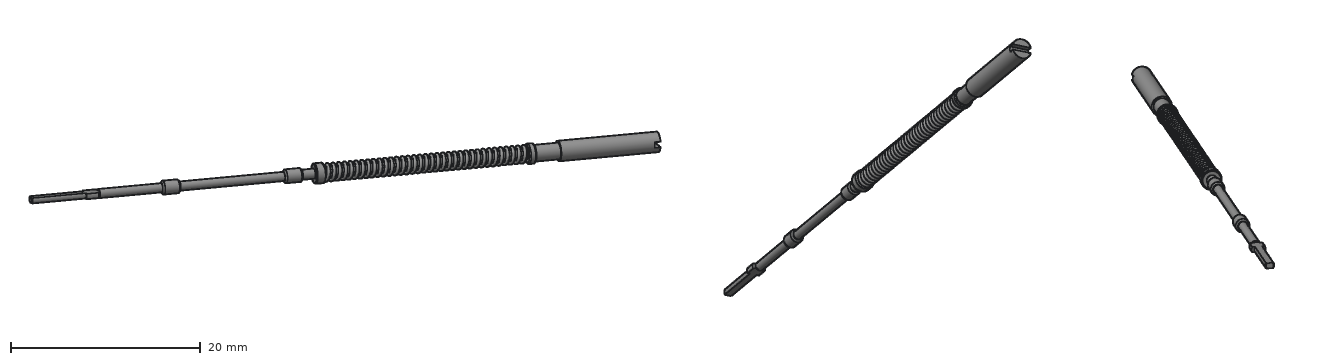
import cadquery as cq

total_length = 69.5

head_diameter = 2.2
head_end = 11.0
screw_slot_width = 0.6
screw_slot_depth = 0.65

neck_diameter = 1.8
flange_start = 13.7
flange_end = 14.5
flange_chamfer = 0.15

stop_start = 37.15
stop_end = 38.1
stop_chamfer = 0.1

core_diameter = 1.1
rod_diameter = 1.0
ring_diameter = 1.5
ring_chamfer = 0.2
rings = [(39.45, 41.45), (53.0, 55.0)]

paddle_start = 61.95
paddle_end = 63.5
blade_thickness = 0.6
tip_chamfer = 0.1

spring_outer_diameter = 2.0
wire_diameter = 0.4
spring_pitch = 0.64
spring_start_angle = 60
spring_left_handed = True
end_inset = wire_diameter / 4


def station(distance):
    """Y coordinate at a given distance from the head end."""
    return total_length / 2 - distance


def turned(start, end, diameter):
    """Plain cylinder between two stations."""
    plane = cq.Workplane("XZ", origin=(0, station(start), 0))
    return plane.circle(diameter / 2).extrude(end - start)


def head():
    """Barrel with a screwdriver slot running along X across its end."""
    barrel = turned(0, head_end, head_diameter)
    slot = cq.Workplane("XY").box(head_diameter, 2 * screw_slot_depth, screw_slot_width)
    return barrel.cut(slot.translate((0, station(0), 0)))


def flange():
    """Upper spring abutment."""
    return turned(flange_start, flange_end, head_diameter).edges().chamfer(flange_chamfer)


def stop_collar():
    """Lower spring abutment, chamfered on the side away from the spring."""
    return turned(stop_start, stop_end, head_diameter).faces("<Y").edges().chamfer(stop_chamfer)


def ring(start, end):
    """Guide ring on the rod."""
    return turned(start, end, ring_diameter).edges().chamfer(ring_chamfer)


def blade():
    """Flattened tip: a wider paddle followed by a narrow blade."""
    paddle = turned(paddle_start, paddle_end, ring_diameter).faces(">Y").edges().chamfer(ring_chamfer)
    tip = turned(paddle_end, total_length, rod_diameter).faces("<Y").edges().chamfer(tip_chamfer)
    flats = cq.Workplane("XY").box(ring_diameter, 2 * total_length, blade_thickness)
    return paddle.union(tip).intersect(flats)


def spring():
    """Round-wire compression spring between the flange and the stop collar."""
    start = flange_end + end_inset
    height = stop_start - flange_end
    coil_radius = (spring_outer_diameter - wire_diameter) / 2
    path = cq.Wire.makeHelix(
        spring_pitch,
        height,
        coil_radius,
        center=cq.Vector(0, station(start), 0),
        dir=cq.Vector(0, -1, 0),
        lefthand=spring_left_handed,
    )
    section_plane = cq.Plane(origin=path.positionAt(0), xDir=(0, 1, 0), normal=path.tangentAt(0))
    coil = cq.Workplane(section_plane).circle(wire_diameter / 2).sweep(path, isFrenet=True)
    return coil.rotate((0, 0, 0), (0, 1, 0), spring_start_angle)


core = turned(flange_end, rings[0][0], core_diameter)
rod = turned(rings[0][0], paddle_start, rod_diameter)
neck = turned(head_end, flange_start, neck_diameter)

result = head().union(neck).union(flange()).union(core).union(rod).union(stop_collar())
for ring_start, ring_end in rings:
    result = result.union(ring(ring_start, ring_end))
result = result.union(blade()).union(spring())